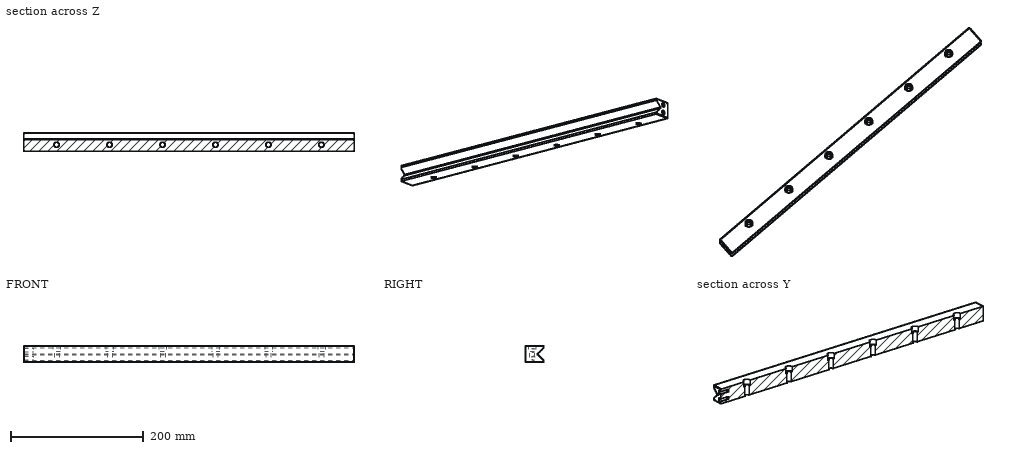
import cadquery as cq

length = 500.0
width = 28.0
height = 25.0
edge_chamfer = 1.0

lip_height = 3.0
raceway_half_opening = height / 2 - lip_height
relief_width = 1.4
relief_half = relief_width / 2
raceway_depth = raceway_half_opening - relief_half
relief_depth = 1.0

mount_count = 6
mount_pitch = 80.0
mount_first_x = (length - (mount_count - 1) * mount_pitch) / 2
mount_y = 10.0
mount_diameter = 7.5
counterbore_diameter = 11.5
counterbore_depth = 8.2

end_hole_diameter = 5.19
end_hole_depth = 15.0
end_hole_mouth_diameter = 6.3
end_hole_y = 12.0
end_hole_spacing = 12.0


def rail_body():
    """Bar with its mounting-face edges and both ends chamfered."""
    body = cq.Workplane("XY").box(length, width, height, centered=False)
    body = body.faces("<Y").edges("|X").chamfer(edge_chamfer)
    return body.faces("<X or >X").edges().chamfer(edge_chamfer)


def raceway():
    """V groove and root relief, cut along the full length of the +Y side."""
    middle_z = height / 2
    root_y = width - raceway_depth
    return (
        cq.Workplane("YZ")
        .moveTo(width, middle_z + raceway_half_opening)
        .lineTo(root_y, middle_z + relief_half)
        .lineTo(root_y - relief_depth, middle_z + relief_half)
        .lineTo(root_y - relief_depth, middle_z - relief_half)
        .lineTo(root_y, middle_z - relief_half)
        .lineTo(width, middle_z - raceway_half_opening)
        .close()
        .extrude(length)
    )


def mounting_holes():
    """Row of through holes, each counterbored from the top."""
    centers = [(mount_first_x + i * mount_pitch, mount_y) for i in range(mount_count)]
    through = cq.Workplane("XY").pushPoints(centers).circle(mount_diameter / 2).extrude(height)
    counterbores = (
        cq.Workplane("XY", origin=(0, 0, height - counterbore_depth))
        .pushPoints(centers)
        .circle(counterbore_diameter / 2)
        .extrude(counterbore_depth)
    )
    return through.union(counterbores)


def end_holes():
    """Pair of blind holes in the -X end, placed evenly about mid-height."""
    centers = [(end_hole_y, height / 2 + side * end_hole_spacing / 2) for side in (-1, 1)]
    mouth_chamfer = (end_hole_mouth_diameter - end_hole_diameter) / 2
    bores = cq.Workplane("YZ").pushPoints(centers).circle(end_hole_diameter / 2).extrude(end_hole_depth)
    mouths = (
        cq.Workplane("YZ")
        .pushPoints(centers)
        .circle(end_hole_mouth_diameter / 2)
        .extrude(mouth_chamfer, taper=45)
    )
    return bores.union(mouths)


result = rail_body().cut(raceway()).cut(mounting_holes()).cut(end_holes())